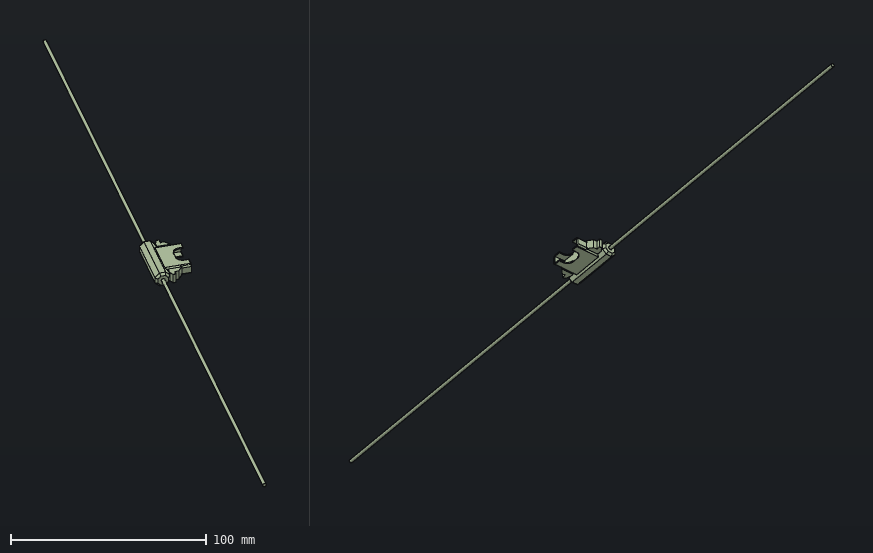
import cadquery as cq
import math

WIRE_LENGTH = 407.8
WIRE_DIAMETER = 2.0

BAR_LENGTH = 31.5
BAR_ACROSS_FLATS = 8.0
BAR_SIDES = 8
BAR_END_CHAMFER = 1.2

PLATE_BACK_Y = 16.7
PLATE_WIDTH = 20.8
PLATE_THICKNESS = 6.0
PLATE_SIDE_CHAMFER = 1.2
MOUTH_WIDTH = 11.0
MOUTH_FLOOR_Y = 10.5
MOUTH_CORNER_RADIUS = 3.5

SOCKET_WIDTH = 18.5
SOCKET_HEIGHT = 4.5

WING_FRONT_Y = BAR_ACROSS_FLATS / 2
WING_FOOT_FRONT_Y = 5.5
WING_FOOT_X = BAR_LENGTH / 2
WING_FOOT_BACK_Y = 7.0
WING_SHOULDER_X = 13.5
WING_SHOULDER_Y = 9.0
WING_ROOT_BACK_Y = 11.5
WING_THICKNESS = 5.5


def make_wire():
    return (
        cq.Workplane("YZ")
        .circle(WIRE_DIAMETER / 2)
        .extrude(WIRE_LENGTH / 2, both=True)
    )


def make_bar_blank():
    """Octagonal bar with flats facing Y and Z, before the wire hole."""
    across_corners = BAR_ACROSS_FLATS / math.cos(math.pi / BAR_SIDES)
    return (
        cq.Workplane("YZ")
        .transformed(rotate=(0, 0, 180 / BAR_SIDES))
        .polygon(BAR_SIDES, across_corners)
        .extrude(BAR_LENGTH / 2, both=True)
        .faces("<X or >X")
        .chamfer(BAR_END_CHAMFER)
    )


def make_bar():
    return make_bar_blank().cut(make_wire())


def make_plate():
    """Plate with a round-cornered mouth, its front end shaped to seat on the bar."""
    slab = (
        cq.Workplane("XY")
        .box(PLATE_WIDTH, PLATE_BACK_Y, PLATE_THICKNESS, centered=(True, False, True))
        .edges("|Y")
        .chamfer(PLATE_SIDE_CHAMFER)
    )
    mouth = (
        cq.Workplane("XY")
        .box(MOUTH_WIDTH, PLATE_BACK_Y, PLATE_THICKNESS, centered=(True, False, True))
        .edges("|Z and <Y")
        .fillet(MOUTH_CORNER_RADIUS)
        .translate((0, MOUTH_FLOOR_Y, 0))
    )
    socket = (
        cq.Workplane("XY")
        .box(SOCKET_WIDTH, PLATE_BACK_Y, SOCKET_HEIGHT, centered=(True, False, True))
        .translate((0, MOUTH_FLOOR_Y, 0))
    )
    seat_front = cq.Workplane("XY").box(
        PLATE_WIDTH, BAR_ACROSS_FLATS, BAR_ACROSS_FLATS
    ).translate((0, -BAR_ACROSS_FLATS / 2, 0))
    return slab.cut(mouth).cut(socket).cut(make_bar_blank()).cut(seat_front)


def make_wing(side):
    """Wing with a foot at its tip; side is +1 or -1 along X."""
    root_x = PLATE_WIDTH / 2
    outline = [
        (root_x, WING_FRONT_Y),
        (WING_SHOULDER_X, WING_FRONT_Y),
        (WING_FOOT_X, WING_FOOT_FRONT_Y),
        (WING_FOOT_X, WING_FOOT_BACK_Y),
        (WING_SHOULDER_X, WING_FOOT_BACK_Y),
        (WING_SHOULDER_X, WING_SHOULDER_Y),
        (root_x, WING_ROOT_BACK_Y),
    ]
    return (
        cq.Workplane("XY")
        .polyline([(side * x, y) for x, y in outline])
        .close()
        .extrude(WING_THICKNESS / 2, both=True)
    )


wire = make_wire()
bar = make_bar()
plate = make_plate()
wings = [make_wing(side) for side in (-1, 1)]

result = cq.Compound.makeCompound(
    [wire.val(), bar.val(), plate.val(), *[wing.val() for wing in wings]]
)